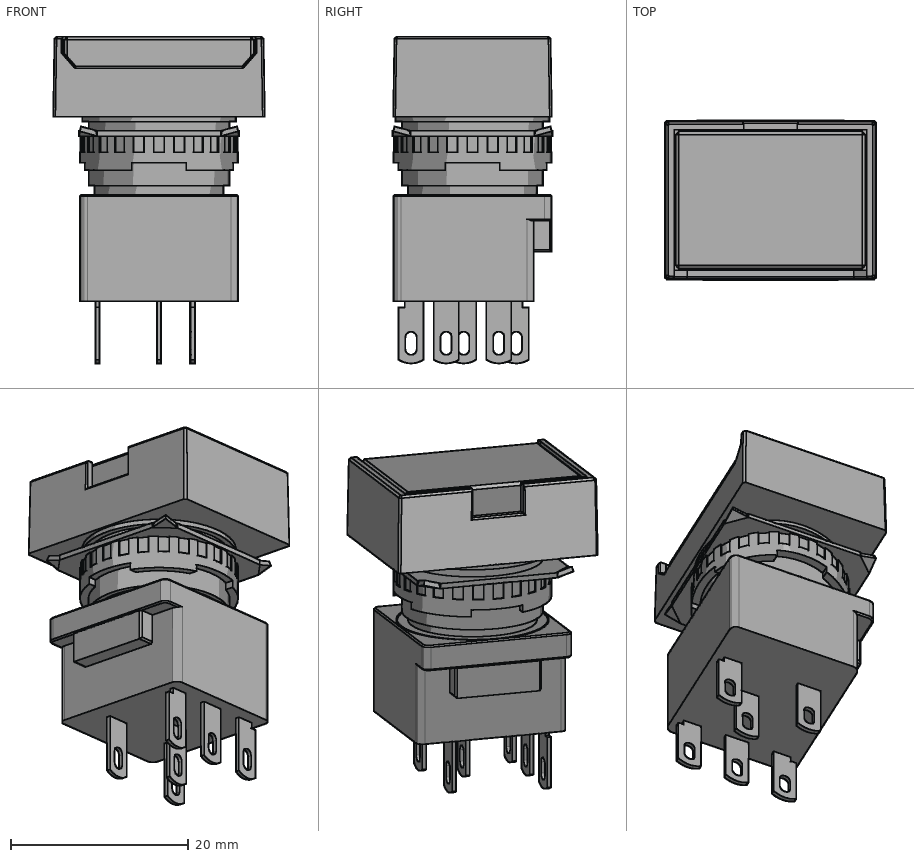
import cadquery as cq


BLOCK_BOTTOM = 7.0
BLOCK_TOP = 19.08
BARREL_BOTTOM = 20.07
NUT_BOTTOM = 21.85
NOTCH_TOP = 22.65
GROOVE_BOTTOM = 23.85
WASHER_BOTTOM = 25.7
WASHER_TOP = 26.27
FLANGE_BOTTOM = 27.3
HEAD_BOTTOM = 27.85
POCKET_FLOOR = 29.52
CUTOUT_BOTTOM = 33.25
CUTOUT_KNEE = 35.05
HEAD_TOP = 36.9
BUTTON_TOP = HEAD_TOP

HEAD_LENGTH = 23.9
HEAD_WIDTH = 17.95
HEAD_DRAFT = 0.9
HEAD_CHAMFER = 0.25
POCKET_LENGTH = 21.77
POCKET_WIDTH = 15.85
OPENING_BEVEL = 0.3
BEVEL_ANGLE = 45.0
CUTOUT_TOP_LENGTH = 22.3
CUTOUT_FLOOR_LENGTH = 19.05
REAR_NOTCH_LENGTH = 6.65
OPENING_TOP = HEAD_TOP + 2 * OPENING_BEVEL

FLANGE_RADIUS = 8.7
BARREL_RADIUS = 7.97
NECK_RADIUS = 7.3

BUTTON_GAP = 0.2
BUTTON_CHAMFER = 0.37

WASHER_SIDE = 18.08
FOLD_LEG = 2.05
FOLD_ANGLE = 22.0
NUT_RADIUS = 8.93
GROOVE_COUNT = 24
GROOVE_WIDTH = 1.2
GROOVE_DEPTH = 0.2
NOTCH_WIDTH = 6.13

BLOCK_SIDE = 17.85
BLOCK_STEP = 2.0
BLOCK_STEP_LEVEL = 16.13
BLOCK_FILLET = 0.8
BLOCK_CHAMFER = 0.2
RING_RADIUS = 8.55
RING_WIDTH = 0.1
RING_DEPTH = 0.1
LEVER_LENGTH = 10.35
LEVER_BOTTOM = 12.62
LEVER_CHAMFER = 0.22

TERMINAL_PITCH = 5.95
TERMINAL_MIDDLE_Y = -1.0
TERMINAL_LEFT_X = -6.95
TERMINALS = [
    (TERMINAL_LEFT_X, TERMINAL_MIDDLE_Y + TERMINAL_PITCH, 1),
    (TERMINAL_LEFT_X, TERMINAL_MIDDLE_Y, 0),
    (TERMINAL_LEFT_X, TERMINAL_MIDDLE_Y - TERMINAL_PITCH, -1),
    (3.73, TERMINAL_PITCH / 2, 0),
    (0.0, -TERMINAL_PITCH / 2, 0),
    (3.85, TERMINAL_MIDDLE_Y - TERMINAL_PITCH, -1),
]
TERMINAL_WIDTH = 2.85
TERMINAL_THICKNESS = 0.48
TERMINAL_TIP_RISE = 0.45
RELIEF_WIDTH = 0.7
RELIEF_HEIGHT = 0.65
SLOT_WIDTH = 1.25
SLOT_LENGTH = 2.6
SLOT_CENTER = 2.3


def box(length, width, bottom, top):
    """Box centred on the Z axis between two levels."""
    return cq.Workplane("XY", origin=(0, 0, bottom)).rect(length, width).extrude(top - bottom)


def cylinder(radius, bottom, top):
    """Cylinder on the Z axis between two levels."""
    return cq.Workplane("XY", origin=(0, 0, bottom)).circle(radius).extrude(top - bottom)


def turned(shape, angle):
    """Copy of a shape turned about the Z axis by an angle in degrees."""
    return shape.rotate((0, 0, 0), (0, 0, 1), angle)


def bevelled_opening(outline):
    """Opening through the front wall, bevelled along the outer edge of the given outline."""
    wall_face = cq.Workplane("XZ", origin=(0, -HEAD_WIDTH / 2, 0))
    hole = wall_face.polyline(outline).close().offset2D(-OPENING_BEVEL, "intersection")
    hole = hole.extrude(-HEAD_WIDTH / 2)
    bevel = wall_face.polyline(outline).close().extrude(-2 * OPENING_BEVEL, taper=BEVEL_ANGLE)
    return hole.union(bevel)


def front_cutout():
    """Wide opening of the front wall with slanted lower corners."""
    top_half = CUTOUT_TOP_LENGTH / 2
    floor_half = CUTOUT_FLOOR_LENGTH / 2
    return bevelled_opening([
        (-top_half, OPENING_TOP),
        (-top_half, CUTOUT_KNEE),
        (-floor_half, CUTOUT_BOTTOM),
        (floor_half, CUTOUT_BOTTOM),
        (top_half, CUTOUT_KNEE),
        (top_half, OPENING_TOP),
    ])


def rear_notch():
    """Narrow rectangular opening of the rear wall."""
    half = REAR_NOTCH_LENGTH / 2
    opening = bevelled_opening([
        (-half, OPENING_TOP),
        (-half, CUTOUT_BOTTOM),
        (half, CUTOUT_BOTTOM),
        (half, OPENING_TOP),
    ])
    return turned(opening, 180)


def make_operator():
    """Frame, flange, barrel and neck in one piece."""
    base = cq.Workplane("XY", origin=(0, 0, HEAD_BOTTOM)).rect(HEAD_LENGTH, HEAD_WIDTH)
    head = base.extrude(HEAD_TOP - HEAD_BOTTOM, taper=HEAD_DRAFT)
    head = head.faces("<X or >X").edges("<Y or >Y").chamfer(HEAD_CHAMFER)
    head = head.faces(">Z").edges().chamfer(HEAD_CHAMFER)
    head = head.cut(box(POCKET_LENGTH, POCKET_WIDTH, POCKET_FLOOR, HEAD_TOP))
    head = head.cut(front_cutout())
    head = head.cut(rear_notch())
    head = head.union(cylinder(FLANGE_RADIUS, FLANGE_BOTTOM, HEAD_BOTTOM))
    head = head.union(cylinder(BARREL_RADIUS, BARREL_BOTTOM, FLANGE_BOTTOM))
    return head.union(cylinder(NECK_RADIUS, BLOCK_TOP, BARREL_BOTTOM))


def make_button():
    """Push button that stands on the pocket floor with a gap all round."""
    length = POCKET_LENGTH - 2 * BUTTON_GAP
    width = POCKET_WIDTH - 2 * BUTTON_GAP
    button = box(length, width, POCKET_FLOOR, BUTTON_TOP)
    return button.edges("|Z or >Z").chamfer(BUTTON_CHAMFER)


def washer_tab():
    """Corner triangle of the washer, folded up about its hinge line."""
    corner = WASHER_SIDE / 2
    hinge_end = corner - FOLD_LEG
    triangle = [(corner, hinge_end), (corner, corner), (hinge_end, corner)]
    flat = cq.Workplane("XY", origin=(0, 0, WASHER_BOTTOM)).polyline(triangle).close()
    tab = flat.extrude(WASHER_TOP - WASHER_BOTTOM)
    hinge_start = (corner, hinge_end, WASHER_BOTTOM)
    hinge_finish = (hinge_end, corner, WASHER_BOTTOM)
    return tab.rotate(hinge_start, hinge_finish, -FOLD_ANGLE)


def make_locking_nut():
    """Grooved and notched round nut carrying a square washer with four raised corners."""
    nut = cylinder(NUT_RADIUS, NUT_BOTTOM, WASHER_BOTTOM)
    groove = box(2 * NUT_RADIUS, GROOVE_WIDTH, GROOVE_BOTTOM, WASHER_BOTTOM)
    groove = groove.translate((NUT_RADIUS, 0, 0))
    groove = groove.cut(cylinder(NUT_RADIUS - GROOVE_DEPTH, GROOVE_BOTTOM, WASHER_BOTTOM))
    for index in range(GROOVE_COUNT):
        nut = nut.cut(turned(groove, index * 360 / GROOVE_COUNT))
    nut = nut.cut(box(2 * NUT_RADIUS, NOTCH_WIDTH, NUT_BOTTOM, NOTCH_TOP))
    nut = nut.cut(box(NOTCH_WIDTH, 2 * NUT_RADIUS, NUT_BOTTOM, NOTCH_TOP))

    washer = box(WASHER_SIDE, WASHER_SIDE, WASHER_BOTTOM, WASHER_TOP)
    washer = washer.edges("|Z").chamfer(FOLD_LEG)
    tab = washer_tab()
    for quarter in range(4):
        washer = washer.union(turned(tab, quarter * 90))

    return nut.union(washer).cut(cylinder(BARREL_RADIUS, NUT_BOTTOM, WASHER_TOP))


def make_terminal(x, y, relief_side):
    """Flat solder tag with a rounded tip, a wire slot and an optional shoulder relief."""
    half = TERMINAL_WIDTH / 2
    plane = cq.Workplane("YZ", origin=(x - TERMINAL_THICKNESS / 2, y, 0))
    outline = plane.moveTo(-half, BLOCK_BOTTOM).lineTo(-half, TERMINAL_TIP_RISE)
    outline = outline.threePointArc((0, 0), (half, TERMINAL_TIP_RISE))
    tag = outline.lineTo(half, BLOCK_BOTTOM).close().extrude(TERMINAL_THICKNESS)
    slot = plane.center(0, SLOT_CENTER).slot2D(SLOT_LENGTH, SLOT_WIDTH, 90)
    tag = tag.cut(slot.extrude(TERMINAL_THICKNESS))
    if relief_side != 0:
        relief_y = relief_side * (half - RELIEF_WIDTH / 2)
        relief = plane.center(relief_y, BLOCK_BOTTOM - RELIEF_HEIGHT / 2)
        tag = tag.cut(relief.rect(RELIEF_WIDTH, RELIEF_HEIGHT).extrude(TERMINAL_THICKNESS))
    return tag


def make_contact_block():
    """Square block stepped in at the rear, with its release lever and solder terminals."""
    upper = box(BLOCK_SIDE, BLOCK_SIDE, BLOCK_STEP_LEVEL, BLOCK_TOP)
    upper = upper.edges("|Z").fillet(BLOCK_FILLET)
    upper = upper.faces(">Z").edges().chamfer(BLOCK_CHAMFER)
    upper = upper.faces("<Z").edges().chamfer(BLOCK_CHAMFER)
    lower_top = BLOCK_STEP_LEVEL + 2 * BLOCK_CHAMFER
    lower = box(BLOCK_SIDE, BLOCK_SIDE - BLOCK_STEP, BLOCK_BOTTOM, lower_top)
    lower = lower.edges("|Z").fillet(BLOCK_FILLET).translate((0, -BLOCK_STEP / 2, 0))

    lever = box(LEVER_LENGTH, BLOCK_STEP, LEVER_BOTTOM, BLOCK_STEP_LEVEL)
    lever = lever.faces("<X or >X").edges(">Y or <Z").chamfer(LEVER_CHAMFER)
    lever = lever.translate((0, (BLOCK_SIDE - BLOCK_STEP) / 2, 0))

    ring_floor = BLOCK_TOP - RING_DEPTH
    ring = cylinder(RING_RADIUS + RING_WIDTH / 2, ring_floor, BLOCK_TOP)
    ring = ring.cut(cylinder(RING_RADIUS - RING_WIDTH / 2, ring_floor, BLOCK_TOP))

    block = upper.union(lower).union(lever).cut(ring)
    for x, y, relief_side in TERMINALS:
        block = block.union(make_terminal(x, y, relief_side))
    return block


operator = make_operator()
button = make_button()
locking_nut = make_locking_nut()
contact_block = make_contact_block()

bodies = [operator, button, locking_nut, contact_block]
result = cq.Compound.makeCompound([body.solids().val() for body in bodies])